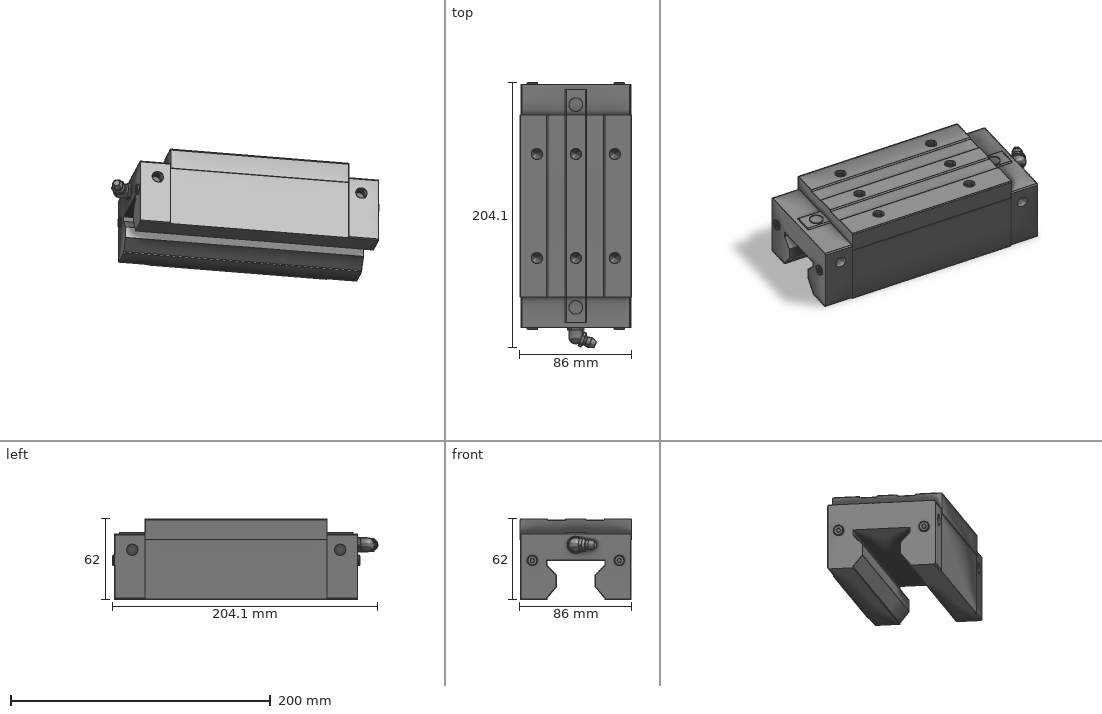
import cadquery as cq
import math


BLOCK_LENGTH = 140.0
CAP_THICKNESS = 19.8
SEAL_THICKNESS = 3.7
BLOCK_END = BLOCK_LENGTH / 2
CAP_END = BLOCK_END + CAP_THICKNESS
SEAL_END = CAP_END + SEAL_THICKNESS

HEIGHT = 62.0
HALF_WIDTH = 43.0
SIDE_RELIEF = 0.6
SIDE_RELIEF_HEIGHT = 46.0
TOP_CHAMFER_WIDTH = 0.5
TOP_CHAMFER_HEIGHT = 1.0
RECESS_DEPTH = 1.0
RECESS_OUTER = 22.4
STRIP_HALF_WIDTH = 7.3

CHANNEL_HALF_WIDTH = 22.3
LIP_HALF_WIDTH = 14.9
CHANNEL_HEIGHT = 30.0
UPPER_SLOPE_TOP = 26.2
LIP_TOP = 18.6
LIP_BOTTOM = 9.8
LOWER_SLOPE_BOTTOM = 1.0

CAP_HALF_WIDTH = 42.3
CAP_HEIGHT = 50.5
CAP_CHAMFER = 1.0
PAD_HEIGHT = 1.0

MOUNT_DIAMETER = 8.5
MOUNT_DEPTH = 17.0
MOUNT_X = 30.0
MOUNT_Y = 40.0
DRILL_TIP_ANGLE = 118.0

TOP_PORT_DIAMETER = 10.5
TOP_PORT_DEPTH = 0.6
TOP_PORT_Y = 78.0
SIDE_PORT_DIAMETER = 8.6
SIDE_PORT_DEPTH = 10.0
SIDE_PORT_Y = 80.0
SIDE_PORT_Z = 38.2

HEX_SIDES = 6

SCREW_X = 33.5
SCREW_Z = 30.0
SCREW_HEAD_DIAMETER = 8.0
SCREW_HEAD_HEIGHT = 1.55
SCREW_CHAMFER = 0.55
SOCKET_FLATS = 3.0
SOCKET_DEPTH = 1.0

NIPPLE_Z = 42.0
SEAT_DIAMETER = 13.2
SEAT_DEPTH = 0.3
BASE_HEX_CORNERS = 12.6
BASE_HEX_HEIGHT = 2.0
ELBOW_RADIUS = 5.45
ELBOW_REACH = 7.1
BRANCH_ANGLE = 22.5
BRANCH_HEX_CORNERS = 11.5
BRANCH_HEX_START = 4.2
BRANCH_HEX_END = 6.7
COLLAR_RADIUS = 4.8
NECK_RADIUS = 2.8
NECK_STATION = 8.7
SHOULDER_RADIUS = 3.5
HEAD_RADIUS = 4.1
HEAD_STATION = 11.8
TIP_RADIUS = 2.5
TIP_STATION = 16.15


def mirrored_outline(half_points):
    """Close an outline from its +X half, listed from the underside up to the centre."""
    other_half = [(-x, z) for x, z in reversed(half_points)]
    return half_points + other_half


def extrude_along_y(points, start, end):
    """Extrude an XZ outline between two Y stations."""
    return cq.Workplane("XZ", origin=(0, end, 0)).polyline(points).close().extrude(end - start)


def block():
    lower_half_width = HALF_WIDTH - SIDE_RELIEF
    floor = HEIGHT - RECESS_DEPTH
    outline = mirrored_outline([
        (lower_half_width, 0),
        (lower_half_width, SIDE_RELIEF_HEIGHT),
        (HALF_WIDTH, SIDE_RELIEF_HEIGHT),
        (HALF_WIDTH, HEIGHT - TOP_CHAMFER_HEIGHT),
        (HALF_WIDTH - TOP_CHAMFER_WIDTH, HEIGHT),
        (RECESS_OUTER, HEIGHT),
        (RECESS_OUTER - RECESS_DEPTH, floor),
        (STRIP_HALF_WIDTH + RECESS_DEPTH, floor),
        (STRIP_HALF_WIDTH, HEIGHT),
    ])
    return extrude_along_y(outline, -BLOCK_END, BLOCK_END)


def end_plate(start, end):
    """Chamfered plate shared by the end caps and the seals."""
    outline = mirrored_outline([
        (CAP_HALF_WIDTH - CAP_CHAMFER, 0),
        (CAP_HALF_WIDTH, CAP_CHAMFER),
        (CAP_HALF_WIDTH, CAP_HEIGHT - CAP_CHAMFER),
        (CAP_HALF_WIDTH - CAP_CHAMFER, CAP_HEIGHT),
    ])
    return extrude_along_y(outline, start, end)


def pads():
    """Centre pads on the caps, in line with the strip on the block."""
    outline = mirrored_outline([
        (STRIP_HALF_WIDTH + PAD_HEIGHT, CAP_HEIGHT),
        (STRIP_HALF_WIDTH, CAP_HEIGHT + PAD_HEIGHT),
    ])
    return extrude_along_y(outline, -CAP_END, CAP_END)


def rail_channel():
    outline = mirrored_outline([
        (CHANNEL_HALF_WIDTH, 0),
        (CHANNEL_HALF_WIDTH, LOWER_SLOPE_BOTTOM),
        (LIP_HALF_WIDTH, LIP_BOTTOM),
        (LIP_HALF_WIDTH, LIP_TOP),
        (CHANNEL_HALF_WIDTH, UPPER_SLOPE_TOP),
        (CHANNEL_HALF_WIDTH, CHANNEL_HEIGHT),
    ])
    return extrude_along_y(outline, -SEAL_END, SEAL_END)


def mounting_hole(x, y):
    """Blind drilled hole with a conical tip."""
    radius = MOUNT_DIAMETER / 2
    tip_length = radius / math.tan(math.radians(DRILL_TIP_ANGLE / 2))
    profile = [(0, 0), (radius, 0), (radius, -MOUNT_DEPTH), (0, -MOUNT_DEPTH - tip_length)]
    hole = cq.Workplane("XZ").polyline(profile).close().revolve(360, (0, 0), (0, 1))
    return hole.translate((x, y, HEIGHT))


def top_port(y):
    pad_top = CAP_HEIGHT + PAD_HEIGHT
    return cq.Workplane("XY", origin=(0, y, pad_top)).circle(TOP_PORT_DIAMETER / 2).extrude(-TOP_PORT_DEPTH)


def side_port(y):
    plane = cq.Workplane("YZ", origin=(-CAP_HALF_WIDTH, y, SIDE_PORT_Z))
    return plane.circle(SIDE_PORT_DIAMETER / 2).extrude(SIDE_PORT_DEPTH)


def seal_screw(x):
    """Socket head standing on the -Y seal face."""
    hex_corners = SOCKET_FLATS / math.cos(math.pi / HEX_SIDES)
    head = (
        cq.Workplane("XZ", origin=(x, -SEAL_END, SCREW_Z))
        .circle(SCREW_HEAD_DIAMETER / 2)
        .extrude(SCREW_HEAD_HEIGHT)
        .faces("<Y")
        .chamfer(SCREW_CHAMFER)
    )
    return head.faces("<Y").workplane().polygon(HEX_SIDES, hex_corners).cutBlind(-SOCKET_DEPTH)


def nipple_seat():
    """Shallow round recess in the seal face around the nipple base."""
    plane = cq.Workplane("XZ", origin=(0, -SEAL_END, NIPPLE_Z))
    return plane.circle(SEAT_DIAMETER / 2).extrude(-SEAT_DEPTH)


def grease_nipple():
    face = cq.Workplane("XZ", origin=(0, -SEAL_END, NIPPLE_Z))
    base = (
        face.workplane(offset=-SEAT_DEPTH)
        .polygon(HEX_SIDES, BASE_HEX_CORNERS)
        .extrude(SEAT_DEPTH + BASE_HEX_HEIGHT)
    )
    stem = face.circle(ELBOW_RADIUS).extrude(ELBOW_REACH)
    elbow_y = -SEAL_END - ELBOW_REACH
    elbow = cq.Workplane("XY").sphere(ELBOW_RADIUS).translate((0, elbow_y, NIPPLE_Z))

    branch_hex = (
        cq.Workplane("YZ", origin=(BRANCH_HEX_START, 0, 0))
        .polygon(HEX_SIDES, BRANCH_HEX_CORNERS)
        .extrude(BRANCH_HEX_END - BRANCH_HEX_START)
    )
    head_profile = [
        (0, 0),
        (0, NECK_RADIUS),
        (BRANCH_HEX_START, NECK_RADIUS),
        (BRANCH_HEX_START, COLLAR_RADIUS),
        (BRANCH_HEX_END, COLLAR_RADIUS),
        (NECK_STATION, NECK_RADIUS),
        (NECK_STATION, SHOULDER_RADIUS),
        (HEAD_STATION, HEAD_RADIUS),
        (TIP_STATION, TIP_RADIUS),
        (TIP_STATION, 0),
    ]
    head = cq.Workplane("XY").polyline(head_profile).close().revolve(360, (0, 0), (1, 0))
    branch = (
        branch_hex.union(head)
        .rotate((0, 0, 0), (0, 0, 1), -BRANCH_ANGLE)
        .translate((0, elbow_y, NIPPLE_Z))
    )
    return base.union(stem).union(elbow).union(branch)


def carriage():
    body = end_plate(-CAP_END, CAP_END).union(pads()).union(block())
    for start, end in ((-SEAL_END, -CAP_END), (CAP_END, SEAL_END)):
        body = body.union(end_plate(start, end), clean=False)
    body = body.cut(rail_channel(), clean=False)

    for x in (-MOUNT_X, 0, MOUNT_X):
        for y in (-MOUNT_Y, MOUNT_Y):
            body = body.cut(mounting_hole(x, y), clean=False)
    for side in (-1, 1):
        body = body.cut(top_port(side * TOP_PORT_Y), clean=False)
        port = side_port(side * SIDE_PORT_Y)
        body = body.cut(port, clean=False)
        body = body.cut(port.mirror("YZ"), clean=False)
        screw = seal_screw(side * SCREW_X)
        body = body.union(screw, clean=False)
        body = body.union(screw.mirror("XZ"), clean=False)
    body = body.cut(nipple_seat(), clean=False)
    return body.union(grease_nipple(), clean=False)


result = carriage().solids()